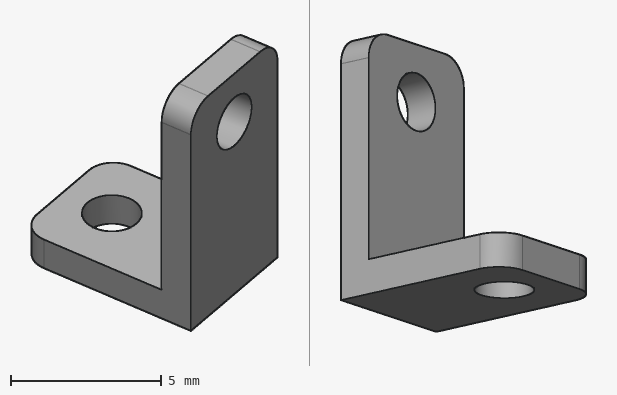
import cadquery as cq

length = 7.0
width = 5.0
height = 9.2
thickness = 1.2

corner_radius = 1.0
hole_diameter = 2.0
hole_edge_distance = 2.0


def make_leg(plane, extent):
    """Plate drawn on `plane`, running from its origin to `extent` along local x,
    with the two far corners rounded and one hole near the far end."""
    return (
        cq.Workplane(plane)
        .rect(extent, width)
        .extrude(thickness)
        .translate(plane.xDir * (extent / 2))
        .edges(cq.selectors.ParallelDirSelector(plane.zDir))
        .edges(cq.selectors.DirectionMinMaxSelector(plane.xDir))
        .fillet(corner_radius)
        .cut(
            cq.Workplane(plane)
            .center(extent - hole_edge_distance, 0)
            .circle(hole_diameter / 2)
            .extrude(thickness)
        )
    )


base_plane = cq.Plane(origin=(0, 0, 0), xDir=(-1, 0, 0), normal=(0, 0, 1))
upright_plane = cq.Plane(origin=(0, 0, 0), xDir=(0, 0, 1), normal=(-1, 0, 0))

base_leg = make_leg(base_plane, length)
upright_leg = make_leg(upright_plane, height)

result = base_leg.union(upright_leg).translate((length / 2, 0, 0))